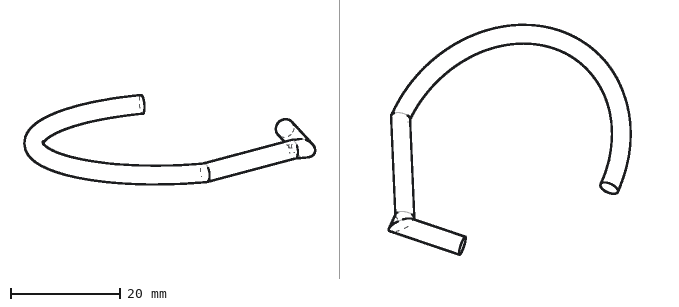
import cadquery as cq

wire_diameter = 3.5
overall_width = 44.5
overall_length = 50.65

bend_radius_x = (overall_width - wire_diameter) / 2
bend_radius_y = 25.95
end_y = overall_length - wire_diameter - bend_radius_y
corner_x = 12.05
knee_y = 19.3

centreline = (
    cq.Workplane("XY")
    .moveTo(0, end_y)
    .lineTo(corner_x, end_y)
    .lineTo(corner_x, knee_y)
    .lineTo(bend_radius_x, 0)
    .ellipseArc(bend_radius_x, bend_radius_y, 180, 360, sense=-1, startAtCurrent=True)
)

result = (
    cq.Workplane("YZ")
    .center(end_y, 0)
    .circle(wire_diameter / 2)
    .sweep(centreline, transition="right")
)